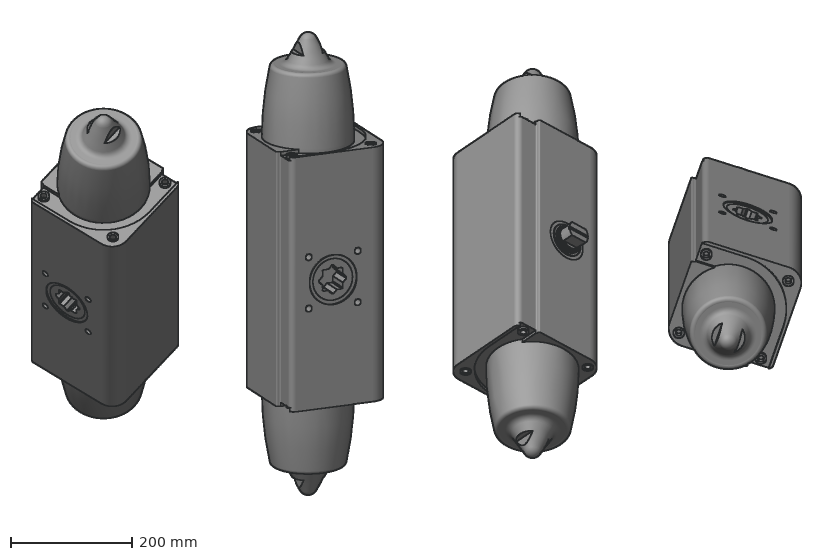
import cadquery as cq
import math


body_half_length = 219.5
short_reach = 84.5
long_reach = 101.0
notch_depth = 7.0
notch_reach = short_reach - notch_depth
notch_wall = 61.0
notch_wall_radius = 2.0
notch_corner_radius = 9.5
back_corner_radius = 32.0
front_corner_radius = 29.5

recess_reach = 96.0
recess_edge = 62.0
recess_depth = 6.0
recess_floor = body_half_length - recess_depth

screw_near = 65.0
screw_far = 78.0
screw_head_diameter = 18.0
screw_head_sink = 1.5
screw_hole_diameter = 10.0
screw_hole_depth = 12.0

total_half_length = 399.0
cap_base_radius = 77.0
cap_waist_radius = 73.5
cap_waist_height = 278.5
cap_rim_radius = 64.0
cap_rim_height = 340.0
cap_top_height = 345.5
cap_flat_radius = 55.0
nose_root_radius = 46.0
nose_root_fillet = 13.0
nose_tip_radius = 13.5
nose_tip_height = 391.0
nose_half_angle = math.radians(29)
nose_flat_offset = 17.5
nose_shelf_height = 366.0

spigot_diameter = 85.0
spigot_depth = 2.0
mount_hole_diameter = 11.0
mount_hole_pitch = 88.5
mount_hole_depth = 20.0

shaft_diameter = 72.0
drive_square = 37.0
drive_point_diameter = 49.5
drive_depth = 40.0
collar_diameters = [58.0, 49.5, 45.0]
collar_step = 2.0
stem_diameter = 41.0
stem_end = 115.0
stem_flat_width = 27.0
stem_round_length = 2.0
slot_width = 4.0
slot_depth = 2.0


def cylinder_along_y(diameter, start, end):
    """Cylinder on the Y axis between two Y positions."""
    plane = cq.Workplane("XZ", origin=(0, start, 0))
    return plane.circle(diameter / 2).extrude(start - end)


def body_prism():
    """Notched and rounded section, extruded along Z."""
    outline = [
        (-notch_reach, -long_reach),
        (long_reach, -long_reach),
        (long_reach, notch_reach),
        (notch_wall, notch_reach),
        (notch_wall, short_reach),
        (-short_reach, short_reach),
        (-short_reach, -notch_wall),
        (-notch_reach, -notch_wall),
    ]
    prism = cq.Workplane("XY").polyline(outline).close().extrude(body_half_length, both=True)
    rounded_corners = [
        (-notch_reach, -long_reach, notch_corner_radius),
        (long_reach, notch_reach, notch_corner_radius),
        (long_reach, -long_reach, front_corner_radius),
        (-short_reach, short_reach, back_corner_radius),
        (-short_reach, -notch_wall, notch_wall_radius),
        (-notch_reach, -notch_wall, notch_wall_radius),
        (notch_wall, short_reach, notch_wall_radius),
        (notch_wall, notch_reach, notch_wall_radius),
    ]
    for x, y, radius in rounded_corners:
        edge = cq.selectors.NearestToPointSelector((x, y, 0))
        prism = prism.edges("|Z").edges(edge).fillet(radius)
    return prism


def end_recess():
    """Material removed from the upper end face: an L-shaped area open at both notches,
    joined with the round seat of the cap."""
    arc_middle = recess_reach * math.sqrt(0.5)
    cap_seat = cq.Workplane("XY", origin=(0, 0, recess_floor)).circle(cap_base_radius).extrude(recess_depth)
    open_area = (
        cq.Workplane("XY", origin=(0, 0, recess_floor))
        .moveTo(-long_reach, -recess_reach)
        .lineTo(0, -recess_reach)
        .threePointArc((arc_middle, -arc_middle), (recess_reach, 0))
        .lineTo(recess_reach, long_reach)
        .lineTo(recess_edge, long_reach)
        .lineTo(recess_edge, 0)
        .lineTo(0, -recess_edge)
        .lineTo(-long_reach, -recess_edge)
        .close()
        .extrude(recess_depth)
    )
    return open_area.union(cap_seat)


def screw_cylinders(diameter, bottom, top):
    """Four vertical cylinders at the end screw positions."""
    positions = [
        (x, y) for x in (-screw_near, screw_far) for y in (-screw_far, screw_near)
    ]
    plane = cq.Workplane("XY", origin=(0, 0, bottom))
    return plane.pushPoints(positions).circle(diameter / 2).extrude(top - bottom)


def spring_cap():
    """Upper cap: bowed tapering side, domed conical nose and two wrench flats on the nose."""
    turn = math.pi / 2 - nose_half_angle
    fillet_centre_height = cap_top_height + nose_root_fillet
    fillet_end = (
        nose_root_radius - nose_root_fillet * math.sin(turn),
        fillet_centre_height - nose_root_fillet * math.cos(turn),
    )
    fillet_middle = (
        nose_root_radius - nose_root_fillet * math.sin(turn / 2),
        fillet_centre_height - nose_root_fillet * math.cos(turn / 2),
    )
    dome_rise = total_half_length - nose_tip_height
    dome_radius = (nose_tip_radius**2 + dome_rise**2) / (2 * dome_rise)
    half_dome_angle = math.asin(nose_tip_radius / dome_radius) / 2
    dome_middle = (
        dome_radius * math.sin(half_dome_angle),
        total_half_length - dome_radius * (1 - math.cos(half_dome_angle)),
    )
    cap = (
        cq.Workplane("XZ")
        .moveTo(0, recess_floor)
        .lineTo(cap_base_radius, recess_floor)
        .lineTo(cap_base_radius, body_half_length)
        .threePointArc((cap_waist_radius, cap_waist_height), (cap_rim_radius, cap_rim_height))
        .tangentArcPoint((cap_flat_radius, cap_top_height), relative=False)
        .lineTo(nose_root_radius, cap_top_height)
        .threePointArc(fillet_middle, fillet_end)
        .lineTo(nose_tip_radius, nose_tip_height)
        .threePointArc(dome_middle, (0, total_half_length))
        .close()
        .revolve(360, (0, 0, 0), (0, 1, 0))
    )
    cutter_width = nose_root_radius
    cutter_height = total_half_length - nose_shelf_height
    for side in (-1, 1):
        cutter = cq.Workplane("XY", origin=(0, 0, nose_shelf_height)).box(
            cutter_width, 2 * cutter_width, cutter_height, centered=(True, True, False)
        )
        cap = cap.cut(cutter.translate((side * (nose_flat_offset + cutter_width / 2), 0, 0)))
    return cap


def add_upper_end(body):
    """Body with its upper end face recessed, capped and given its screws."""
    head_top = body_half_length - screw_head_sink
    body = body.cut(end_recess())
    body = body.cut(screw_cylinders(screw_head_diameter, head_top, body_half_length))
    body = body.union(screw_cylinders(screw_head_diameter, recess_floor, head_top))
    body = body.cut(screw_cylinders(screw_hole_diameter, head_top - screw_hole_depth, head_top))
    return body.union(spring_cap())


def build_housing():
    body = body_prism()
    body = add_upper_end(body)
    body = add_upper_end(body.mirror("XY")).mirror("XY")
    bore = cylinder_along_y(shaft_diameter, -long_reach, short_reach)
    spigot = cylinder_along_y(spigot_diameter, -long_reach, -long_reach + spigot_depth)
    mount_holes = (
        cq.Workplane("XZ", origin=(0, -long_reach, 0))
        .rect(mount_hole_pitch, mount_hole_pitch, forConstruction=True)
        .vertices()
        .circle(mount_hole_diameter / 2)
        .extrude(-mount_hole_depth)
    )
    return body.cut(bore).cut(spigot).cut(mount_holes)


def build_shaft():
    """Shaft with an eight-pointed drive socket on -Y and a flatted, slotted stem on +Y."""
    shaft_start = -long_reach + spigot_depth
    shaft = cylinder_along_y(shaft_diameter, shaft_start, short_reach)
    level = short_reach
    for diameter in collar_diameters:
        shaft = shaft.union(cylinder_along_y(diameter, level, level + collar_step))
        level += collar_step
    flats_start = level + stem_round_length
    stem = cylinder_along_y(stem_diameter, level, stem_end)
    flat_length = stem_end - flats_start
    for side in (-1, 1):
        cutter = cq.Workplane("XY").box(stem_diameter, flat_length, stem_diameter)
        offset = (stem_flat_width + stem_diameter) / 2
        stem = stem.cut(cutter.translate((0, flats_start + flat_length / 2, side * offset)))
    slot = cq.Workplane("XY").box(stem_diameter, slot_depth, slot_width)
    stem = stem.cut(slot.translate((0, stem_end - slot_depth / 2, 0)))
    shaft = shaft.union(stem)
    socket_limit = cylinder_along_y(drive_point_diameter, shaft_start, shaft_start + drive_depth)
    for angle in (0, 45):
        square = cq.Workplane("XY").box(drive_square, drive_depth, drive_square)
        square = square.rotate((0, 0, 0), (0, 1, 0), angle)
        square = square.translate((0, shaft_start + drive_depth / 2, 0))
        shaft = shaft.cut(square.intersect(socket_limit))
    return shaft


housing = build_housing()
shaft = build_shaft()

result = cq.Compound.makeCompound([housing.val(), shaft.val()])